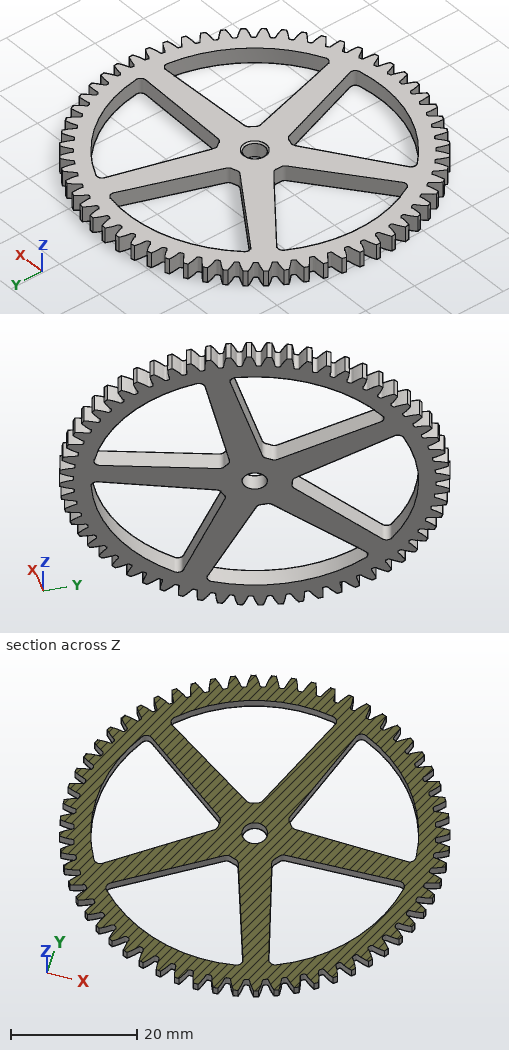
import cadquery as cq
import math

tooth_count = 60
module = 1.0
pressure_angle = math.radians(20)
thickness = 3.0
pitch_radius = tooth_count * module / 2
tip_radius = pitch_radius + module
mouth_radius = tip_radius + 0.2 * module
root_radius = pitch_radius - 1.25 * module
form_radius = pitch_radius - 0.55 * module
base_radius = pitch_radius * math.cos(pressure_angle)
root_fillet = 0.33 * module

spoke_count = 5
rim_inner_radius = 26.0
spoke_half_width_at_center = 2.89
spoke_half_width_at_rim = 2.03
hub_radius = 6.0
window_fillet = 1.0

bore_diameter = 4.0
bore_chamfer = 0.3


def polar(radius, angle):
    return (radius * math.cos(angle), radius * math.sin(angle))


def involute_roll(radius):
    """Involute polar angle swept between the base circle and the given radius."""
    angle = math.acos(base_radius / radius)
    return math.tan(angle) - angle


def half_tooth_angle(radius):
    """Half the angle that a tooth spans at the given radius."""
    pitch_half_angle = math.pi / (2 * tooth_count)
    return pitch_half_angle + involute_roll(pitch_radius) - involute_roll(radius)


def make_tooth_gap():
    """Cutter for the gap centred on the +X axis: involute flanks above straight walls and a filleted floor."""
    half_pitch = math.pi / tooth_count

    def half_gap_angle(radius):
        return half_pitch - half_tooth_angle(radius)

    floor_angle = half_gap_angle(root_radius)
    wall_angle = half_gap_angle(form_radius)
    mouth_angle = half_gap_angle(mouth_radius)
    pitch_angle = half_gap_angle(pitch_radius)
    return (
        cq.Workplane("XY")
        .moveTo(*polar(root_radius, -floor_angle))
        .lineTo(*polar(form_radius, -wall_angle))
        .threePointArc(polar(pitch_radius, -pitch_angle), polar(mouth_radius, -mouth_angle))
        .lineTo(*polar(mouth_radius, mouth_angle))
        .threePointArc(polar(pitch_radius, pitch_angle), polar(form_radius, wall_angle))
        .lineTo(*polar(root_radius, floor_angle))
        .threePointArc((root_radius, 0), polar(root_radius, -floor_angle))
        .close()
        .extrude(thickness)
        .edges("|Z and <X")
        .fillet(root_fillet)
    )


def cut_around_axis(body, cutter, count):
    """Cut evenly spaced copies of a cutter, the first half a step from the +X axis."""
    step = 360 / count
    axis = ((0, 0, 0), (0, 0, 1))
    copies = [cutter.rotate(*axis, step * (index + 0.5)).val() for index in range(count)]
    return cq.Workplane(body.val().cut(*copies))


def make_window():
    """Cutter for one opening, centred on the +X axis between two tapered spokes."""
    half_sector = math.pi / spoke_count
    taper = math.atan((spoke_half_width_at_center - spoke_half_width_at_rim) / rim_inner_radius)
    edge_angle = half_sector + taper
    apex_distance = spoke_half_width_at_center * math.cos(taper) / math.sin(edge_angle)
    reach = 2 * rim_inner_radius
    half_base = reach * math.tan(edge_angle)
    base_x = apex_distance + reach
    wedge = (
        cq.Workplane("XY")
        .moveTo(apex_distance, 0)
        .lineTo(base_x, half_base)
        .lineTo(base_x, -half_base)
        .close()
        .extrude(thickness)
    )
    annulus = cq.Workplane("XY").circle(rim_inner_radius).circle(hub_radius).extrude(thickness)
    return wedge.intersect(annulus).edges("|Z").fillet(window_fillet)


def cut_bore(body):
    """Through bore with a 45 degree chamfer on its top rim."""
    bore_radius = bore_diameter / 2
    bore_profile = (
        cq.Workplane("XZ")
        .lineTo(bore_radius, 0)
        .lineTo(bore_radius, thickness - bore_chamfer)
        .lineTo(bore_radius + bore_chamfer, thickness)
        .lineTo(0, thickness)
        .close()
    )
    return body.cut(bore_profile.revolve(360, (0, 0, 0), (0, 1, 0)))


blank = cq.Workplane("XY").circle(tip_radius).extrude(thickness)
toothed = cut_around_axis(blank, make_tooth_gap(), tooth_count)
spoked = cut_around_axis(toothed, make_window(), spoke_count)
result = cut_bore(spoked)